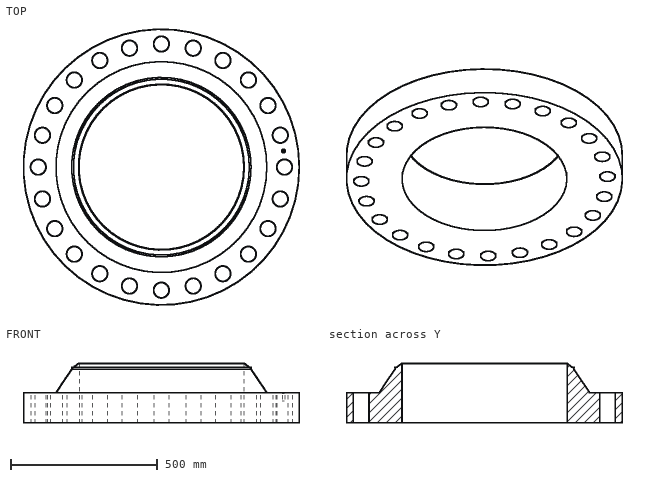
import cadquery as cq
import math

flange_diameter = 940.0
flange_thickness = 103.0
total_height = 203.0

bore_diameter = 561.0
hub_base_diameter = 718.0
weld_end_diameter = 611.0
weld_land_width = 2.0
weld_bevel_width = 17.0
weld_bevel_angle = 37.5
weld_shoulder_angle = 10.0
weld_collar_height = 6.0

bolt_circle_diameter = 838.0
bolt_hole_diameter = 52.0
bolt_count = 24
pin_hole_diameter = 7.5
pin_hole_depth = 28.0
pin_mouth_diameter = 12.0

flange_radius = flange_diameter / 2
bore_radius = bore_diameter / 2
hub_base_radius = hub_base_diameter / 2
weld_end_radius = weld_end_diameter / 2
land_radius = bore_radius + weld_land_width
bolt_pitch_angle = 360 / bolt_count
bevel_outer_radius = land_radius + weld_bevel_width
bevel_height = weld_bevel_width * math.tan(math.radians(weld_bevel_angle))
bevel_bottom = total_height - bevel_height
shoulder_width = weld_end_radius - bevel_outer_radius
shoulder_height = shoulder_width * math.tan(math.radians(weld_shoulder_angle))
collar_top = bevel_bottom - shoulder_height
collar_bottom = collar_top - weld_collar_height


def make_body():
    """Revolve the ring section: flange, tapered hub, short collar and compound weld bevel."""
    section = [
        (bore_radius, 0),
        (flange_radius, 0),
        (flange_radius, flange_thickness),
        (hub_base_radius, flange_thickness),
        (weld_end_radius, collar_bottom),
        (weld_end_radius, collar_top),
        (bevel_outer_radius, bevel_bottom),
        (land_radius, total_height),
        (bore_radius, total_height),
    ]
    return cq.Workplane("XZ").polyline(section).close().revolve(360, (0, 0), (0, 1))


def make_bolt_holes():
    """Through holes evenly spaced on the bolt circle, the first one on +X."""
    return (
        cq.Workplane("XY")
        .polarArray(bolt_circle_diameter / 2, 0, 360, bolt_count)
        .circle(bolt_hole_diameter / 2)
        .extrude(flange_thickness)
    )


def make_pin_hole():
    """Small blind hole with a 45 degree mouth, half a pitch past the bolt hole on +X."""
    hole_radius = pin_hole_diameter / 2
    mouth_radius = pin_mouth_diameter / 2
    mouth_depth = mouth_radius - hole_radius
    section = [
        (0, -pin_hole_depth),
        (hole_radius, -pin_hole_depth),
        (hole_radius, -mouth_depth),
        (mouth_radius, 0),
        (0, 0),
    ]
    hole = cq.Workplane("XZ").polyline(section).close().revolve(360, (0, 0), (0, 1))
    return (
        hole.translate((bolt_circle_diameter / 2, 0, flange_thickness))
        .rotate((0, 0, 0), (0, 0, 1), bolt_pitch_angle / 2)
    )


result = make_body().cut(make_bolt_holes()).cut(make_pin_hole())